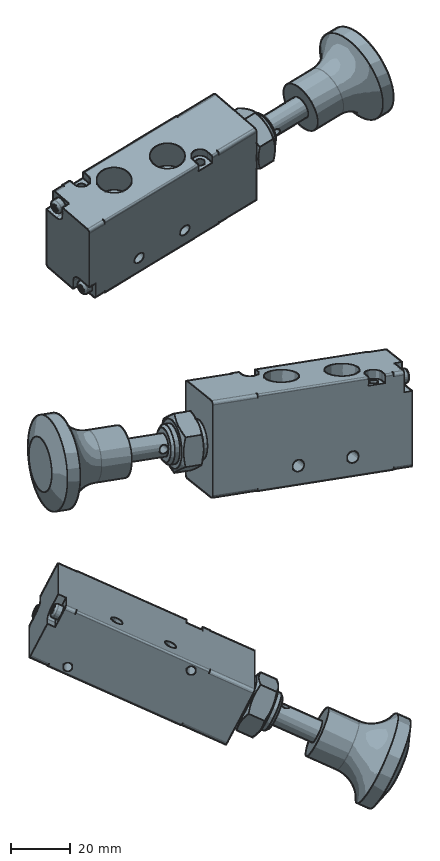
import cadquery as cq
import math


BODY_WIDTH = 22.5
BODY_HEIGHT = 35.0
COVER_END = 6.8
MIDDLE_END = 56.7
BODY_END = 73.2
END_EDGE_RADIUS = 1.2
MIDDLE_EDGE_RADIUS = 0.7

PORT_DIAMETER = 11.8
PORT_TAPER = 1 / 16
PORT_DEPTH = 10.5
PORT_OFFSET = 1.5
PORT_CENTRE_Y = 32.0
PORT_SPACING = 20.9

MOUNT_HOLE_DIAMETER = 3.2
MOUNT_RECESS_WIDTH = 6.0
MOUNT_RECESS_DEPTH = 3.2
MOUNT_OFFSET = 8.4
MOUNT_CENTRE_Y = 32.0
MOUNT_SPACING = 37.9

CROSS_HOLE_DIAMETER = 4.2
CROSS_HOLE_SPACING = 20.0
CROSS_HOLE_CENTRE_Y = 31.8
CROSS_HOLE_ABOVE_BASE = 7.1

RECESS_WIDTH = 8.4
RECESS_HEIGHT = 7.5
RECESS_DEPTH = 2.9
RECESS_CORNER_RADIUS = 3.4
SCREW_INSET_X = 4.3
SCREW_INSET_Z = 3.4
SCREW_HEAD_DIAMETER = 5.0
SCREW_HEAD_RADIUS = 0.9
SLOT_LENGTH = 2.9
SLOT_WIDTH = 0.8
SLOT_DEPTH = 1.2

BUSHING_DIAMETER = 14.0
BUSHING_LENGTH = 13.0
BUSHING_END = BODY_END + BUSHING_LENGTH
BUSHING_CHAMFER = 1.0
NUT_ACROSS_FLATS = 18.5
NUT_GAP = 2.1
NUT_THICKNESS = 8.0
NUT_FACE_DIAMETER = 17.1
NUT_CHAMFER_LENGTH = 1.0

ROD_DIAMETER = 8.0
PIN_HOLE_DIAMETER = 3.2
PIN_HOLE_GAP = 1.7

KNOB_END = 131.5
KNOB_DIAMETER = 33.0
KNOB_FACE_DIAMETER = 19.0
KNOB_NECK_DIAMETER = 18.0
KNOB_START = 101.9
FLARE_START = 113.1
RIM_START = 124.1
RIM_END = 128.9

SIDES = (-1, 1)


def cylinder_y(diameter, start, end):
    """Cylinder on the knob axis between two Y positions."""
    disc = cq.Workplane("XZ", origin=(0, start, 0)).circle(diameter / 2)
    return disc.extrude(start - end)


def body_section(start, end, edge_radius):
    """Length of body with its four long edges rounded."""
    outline = cq.Workplane("XZ", origin=(0, start, 0)).rect(BODY_WIDTH, BODY_HEIGHT)
    return outline.extrude(start - end).edges("|Y").fillet(edge_radius)


def make_body():
    cover = body_section(0, COVER_END, END_EDGE_RADIUS)
    middle = body_section(COVER_END, MIDDLE_END, MIDDLE_EDGE_RADIUS)
    rear_cap = body_section(MIDDLE_END, BODY_END, END_EDGE_RADIUS)
    return cover.union(middle).union(rear_cap)


def cut_ports(body):
    top = cq.Workplane("XY", origin=(0, PORT_CENTRE_Y, BODY_HEIGHT / 2))
    centres = [(side * PORT_OFFSET, side * PORT_SPACING / 2) for side in SIDES]
    wall_angle = math.degrees(math.atan(PORT_TAPER / 2))
    ports = (
        top.pushPoints(centres)
        .circle(PORT_DIAMETER / 2)
        .extrude(-PORT_DEPTH, taper=wall_angle)
    )
    return body.cut(ports)


def cut_mounting_holes(body):
    for side in SIDES:
        centre_y = MOUNT_CENTRE_Y + side * MOUNT_SPACING / 2
        top = cq.Workplane("XY", origin=(side * MOUNT_OFFSET, centre_y, BODY_HEIGHT / 2))
        round_end = top.circle(MOUNT_RECESS_WIDTH / 2).extrude(-MOUNT_RECESS_DEPTH)
        open_end = (
            top.center(side * MOUNT_RECESS_WIDTH / 2, 0)
            .rect(MOUNT_RECESS_WIDTH, MOUNT_RECESS_WIDTH)
            .extrude(-MOUNT_RECESS_DEPTH)
        )
        hole = top.circle(MOUNT_HOLE_DIAMETER / 2).extrude(-BODY_HEIGHT)
        body = body.cut(round_end).cut(open_end).cut(hole)
    return body


def cut_cross_holes(body):
    height = CROSS_HOLE_ABOVE_BASE - BODY_HEIGHT / 2
    centres = [(side * CROSS_HOLE_SPACING / 2, 0) for side in SIDES]
    holes = (
        cq.Workplane("YZ", origin=(0, CROSS_HOLE_CENTRE_Y, height))
        .pushPoints(centres)
        .circle(CROSS_HOLE_DIAMETER / 2)
        .extrude(BODY_WIDTH / 2, both=True)
    )
    return body.cut(holes)


def make_screw_head(x, z):
    """Rounded screw head with a cross recess, flush with the front face."""
    head = (
        cq.Workplane("XZ", origin=(x, RECESS_DEPTH, z))
        .circle(SCREW_HEAD_DIAMETER / 2)
        .extrude(RECESS_DEPTH)
        .faces("<Y")
        .edges()
        .fillet(SCREW_HEAD_RADIUS)
    )
    face = cq.Workplane("XZ", origin=(x, 0, z))
    level_slot = face.rect(SLOT_LENGTH, SLOT_WIDTH).extrude(-SLOT_DEPTH)
    upright_slot = face.rect(SLOT_WIDTH, SLOT_LENGTH).extrude(-SLOT_DEPTH)
    return head.cut(level_slot).cut(upright_slot)


def add_cover_screws(body):
    for side in SIDES:
        corner_x = side * BODY_WIDTH / 2
        corner_z = -side * BODY_HEIGHT / 2
        recess = (
            cq.Workplane("XZ", origin=(corner_x, 0, corner_z))
            .rect(2 * RECESS_WIDTH, 2 * RECESS_HEIGHT)
            .extrude(-RECESS_DEPTH)
            .edges("|Y")
            .fillet(RECESS_CORNER_RADIUS)
        )
        head = make_screw_head(corner_x - side * SCREW_INSET_X, corner_z + side * SCREW_INSET_Z)
        body = body.cut(recess).union(head)
    return body


def make_bushing():
    bushing = cylinder_y(BUSHING_DIAMETER, BODY_END, BUSHING_END)
    return bushing.faces(">Y").edges().chamfer(BUSHING_CHAMFER)


def make_nut():
    """Hexagon nut with corners up and down and conical chamfers at both ends."""
    start = BODY_END + NUT_GAP
    end = start + NUT_THICKNESS
    across_corners = NUT_ACROSS_FLATS / math.cos(math.pi / 6)
    hexagon = (
        cq.Workplane("XZ", origin=(0, start, 0))
        .transformed(rotate=(0, 0, 90))
        .polygon(6, across_corners)
        .extrude(-NUT_THICKNESS)
    )
    envelope = (
        cq.Workplane("XY")
        .moveTo(0, start)
        .lineTo(NUT_FACE_DIAMETER / 2, start)
        .lineTo(across_corners / 2, start + NUT_CHAMFER_LENGTH)
        .lineTo(across_corners / 2, end - NUT_CHAMFER_LENGTH)
        .lineTo(NUT_FACE_DIAMETER / 2, end)
        .lineTo(0, end)
        .close()
        .revolve(360, (0, 0, 0), (0, 1, 0))
    )
    return hexagon.intersect(envelope)


def make_rod():
    rod = cylinder_y(ROD_DIAMETER, BODY_END, KNOB_START)
    pin_hole = (
        cq.Workplane("YZ", origin=(0, BUSHING_END + PIN_HOLE_GAP, 0))
        .circle(PIN_HOLE_DIAMETER / 2)
        .extrude(ROD_DIAMETER / 2, both=True)
    )
    return rod.cut(pin_hole)


def make_knob():
    """Turned knob whose concave flare leaves the neck tangentially."""
    neck_radius = KNOB_NECK_DIAMETER / 2
    rim_radius = KNOB_DIAMETER / 2
    return (
        cq.Workplane("XY")
        .moveTo(0, KNOB_START)
        .lineTo(neck_radius, KNOB_START)
        .lineTo(neck_radius, FLARE_START)
        .tangentArcPoint((rim_radius, RIM_START), relative=False)
        .lineTo(rim_radius, RIM_END)
        .lineTo(KNOB_FACE_DIAMETER / 2, KNOB_END)
        .lineTo(0, KNOB_END)
        .close()
        .revolve(360, (0, 0, 0), (0, 1, 0))
    )


body = add_cover_screws(cut_cross_holes(cut_mounting_holes(cut_ports(make_body()))))
result = body.union(make_bushing()).union(make_nut()).union(make_rod()).union(make_knob())